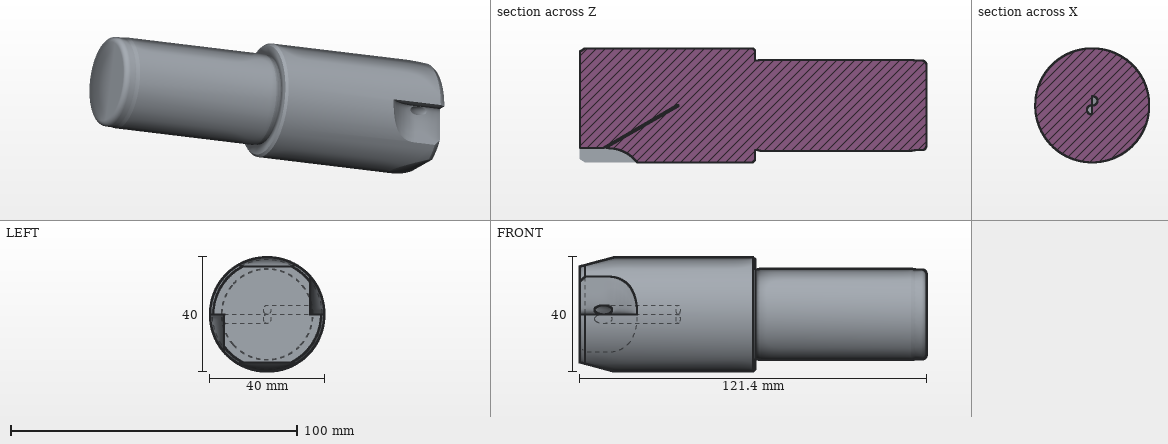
import cadquery as cq
import math

total_length = 121.4
head_diameter = 40.0
head_length = 61.4
nose_chamfer_length = 2.0
nose_chamfer_depth = 1.2
shoulder_chamfer = 0.8

shank_diameter = 32.0
relief_diameter = 31.5
neck_length = 0.8
neck_taper_length = 1.1
tail_length = 4.0
tail_taper_length = 1.5
tail_round = 1.8

flat_height = 16.8
flat_angle = 15.0

pocket_wall = 15.0
pocket_straight = 10.0
pocket_length = 20.1

hole_diameter = 3.2
hole_angle = 30.0
hole_x = 8.4
hole_z = hole_diameter / 2

head_radius = head_diameter / 2
shank_radius = shank_diameter / 2
relief_radius = relief_diameter / 2


def turned_body():
    neck_end = head_length + neck_length
    tail_start = total_length - tail_length
    half_profile = (
        cq.Workplane("XY")
        .moveTo(0, 0)
        .lineTo(0, head_radius - nose_chamfer_depth)
        .lineTo(nose_chamfer_length, head_radius)
        .lineTo(head_length - shoulder_chamfer, head_radius)
        .lineTo(head_length, head_radius - shoulder_chamfer)
        .lineTo(head_length, relief_radius)
        .lineTo(neck_end, relief_radius)
        .lineTo(neck_end + neck_taper_length, shank_radius)
        .lineTo(tail_start - tail_taper_length, shank_radius)
        .lineTo(tail_start, relief_radius)
        .lineTo(total_length - tail_round, relief_radius)
        .tangentArcPoint((total_length, relief_radius - tail_round), relative=False)
        .lineTo(total_length, 0)
        .close()
    )
    return half_profile.revolve(360, (0, 0, 0), (1, 0, 0))


def nose_flat():
    """Wedge that slopes from the nose face up to the head surface."""
    rise = head_radius - flat_height
    flat_length = rise / math.tan(math.radians(flat_angle))
    return (
        cq.Workplane("XZ")
        .polyline([(0, flat_height), (flat_length, head_radius), (0, head_radius)])
        .close()
        .extrude(head_radius, both=True)
    )


def side_pocket():
    """Pocket on the -Y side, standing on the mid plane, with an arc tangent to its wall."""
    run_out = pocket_length - pocket_straight
    depth = head_radius - pocket_wall
    arc_radius = (run_out**2 + depth**2) / (2 * depth)
    arc_angle = math.asin(run_out / arc_radius)
    arc_middle = (
        pocket_straight + arc_radius * math.sin(arc_angle / 2),
        -pocket_wall - arc_radius * (1 - math.cos(arc_angle / 2)),
    )
    return (
        cq.Workplane("XY")
        .moveTo(0, -pocket_wall)
        .lineTo(pocket_straight, -pocket_wall)
        .threePointArc(arc_middle, (pocket_length, -head_radius))
        .lineTo(0, -head_radius)
        .close()
        .extrude(head_radius)
    )


def slanted_hole():
    """Blind hole that enters the pocket wall and slants back to the part's centre plane."""
    angle = math.radians(hole_angle)
    direction = cq.Vector(math.cos(angle), math.sin(angle), 0)
    entry = cq.Vector(hole_x, -pocket_wall, hole_z)
    lead_in = hole_diameter
    start = entry - direction * lead_in
    length = lead_in + pocket_wall / math.sin(angle)
    return cq.Workplane(cq.Solid.makeCylinder(hole_diameter / 2, length, start, direction))


result = turned_body()
for turn in (0, 180):
    for cutter in (nose_flat(), side_pocket(), slanted_hole()):
        result = result.cut(cutter.rotate((0, 0, 0), (1, 0, 0), turn))